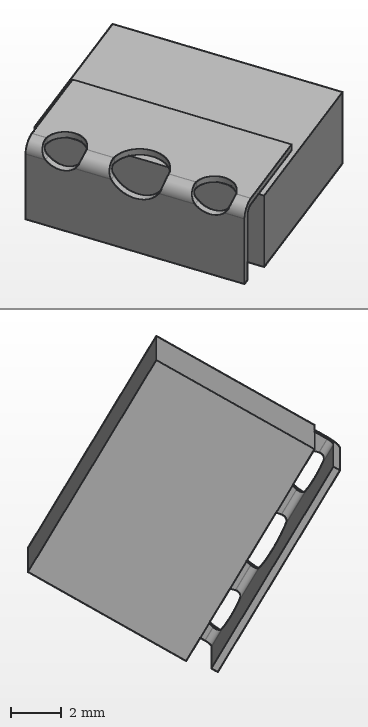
import cadquery as cq
import math

body_width = 10.0
body_depth = 7.2
body_height = 3.6

sheet_thickness = 0.3
bracket_width = 9.52
bracket_overlap = 3.03
leg_gap = 1.0
bend_inner_radius = 0.3

centre_hole_radius = 1.2
side_hole_radius = 0.88
side_hole_offset = 3.25
neutral_radius = 0.48
hole_line_offset = 0.16

bend_section_count = 9
cut_margin = 0.1

bend_outer_radius = bend_inner_radius + sheet_thickness
bracket_top = body_height + sheet_thickness
leg_front = -leg_gap - sheet_thickness
bend_y = leg_front + bend_outer_radius
bend_z = bracket_top - bend_outer_radius
bend_length = neutral_radius * math.pi / 2


def make_body():
    return cq.Workplane("XY").box(
        body_width, body_depth, body_height, centered=(True, False, False)
    )


def make_bracket():
    """L-shaped sheet with concentric bend arcs, extruded across X."""
    mid_arc = math.sqrt(0.5)
    return (
        cq.Workplane("YZ")
        .moveTo(bracket_overlap, body_height)
        .lineTo(bracket_overlap, bracket_top)
        .lineTo(bend_y, bracket_top)
        .threePointArc(
            (bend_y - bend_outer_radius * mid_arc, bend_z + bend_outer_radius * mid_arc),
            (leg_front, bend_z),
        )
        .lineTo(leg_front, 0)
        .lineTo(-leg_gap, 0)
        .lineTo(-leg_gap, bend_z)
        .threePointArc(
            (bend_y - bend_inner_radius * mid_arc, bend_z + bend_inner_radius * mid_arc),
            (bend_y, body_height),
        )
        .close()
        .extrude(bracket_width / 2, both=True)
    )


def bend_hole_section(x, radius, angle):
    """Rectangle across the sheet at a bend angle, as wide as the hole is there."""
    along_sheet = neutral_radius * angle - hole_line_offset
    half_width = math.sqrt(radius**2 - along_sheet**2)

    def point(side, bend_radius):
        return cq.Vector(
            x + side * half_width,
            bend_y - bend_radius * math.sin(angle),
            bend_z + bend_radius * math.cos(angle),
        )

    near = bend_inner_radius - cut_margin
    far = bend_outer_radius + cut_margin
    corners = [point(-1, near), point(1, near), point(1, far), point(-1, far)]
    return cq.Wire.makePolygon(corners, close=True)


def make_hole_cutter(x, radius):
    """Hole in three stretches: flat top, bend and leg."""
    cutter_length = sheet_thickness + 2 * cut_margin
    size = 2 * radius

    top_keep = cq.Workplane("XY").box(
        size, size, cutter_length, centered=(True, False, False)
    ).translate((x, bend_y, body_height - cut_margin))
    top_part = (
        cq.Workplane("XY", origin=(x, bend_y - hole_line_offset, body_height - cut_margin))
        .circle(radius)
        .extrude(cutter_length)
        .intersect(top_keep)
    )

    leg_keep = cq.Workplane("XY").box(
        size, cutter_length, size, centered=(True, False, False)
    ).translate((x, leg_front - cut_margin, bend_z - size))
    leg_centre_z = bend_z + bend_length - hole_line_offset
    leg_part = (
        cq.Workplane("XZ", origin=(x, -leg_gap + cut_margin, leg_centre_z))
        .circle(radius)
        .extrude(cutter_length)
        .intersect(leg_keep)
    )

    last = bend_section_count - 1
    sections = [
        bend_hole_section(x, radius, math.pi / 2 * i / last)
        for i in range(bend_section_count)
    ]
    bend_part = cq.Workplane(cq.Solid.makeLoft(sections))
    return [top_part, bend_part, leg_part]


bracket = make_bracket()
holes = [
    (-side_hole_offset, side_hole_radius),
    (0.0, centre_hole_radius),
    (side_hole_offset, side_hole_radius),
]
for hole_x, hole_radius in holes:
    for cutter in make_hole_cutter(hole_x, hole_radius):
        bracket = bracket.cut(cutter)

result = make_body().union(bracket)